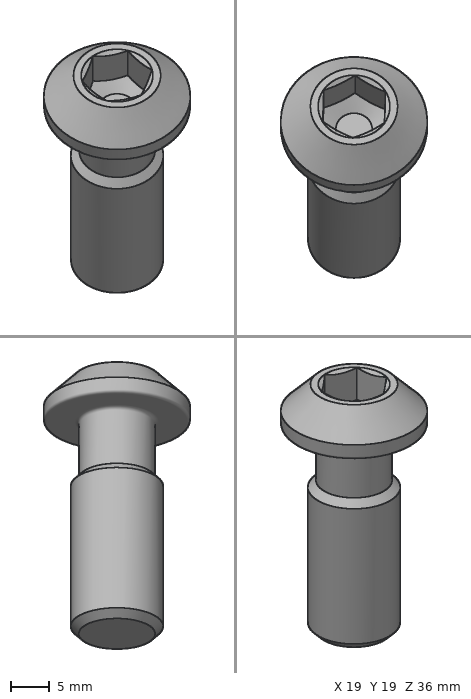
import cadquery as cq
import math

TOTAL_LENGTH = 36.0
HEAD_HEIGHT = 6.0
HEAD_DIAMETER = 19.0
HEAD_TOP_DIAMETER = 11.3
RIM_TOP_ABOVE_SEAT = 2.15
RIM_FILLET = 0.4

SHANK_DIAMETER = 12.0
NECK_DIAMETER = 9.9
NECK_LENGTH = 8.05
NECK_FILLET = 0.5

SOCKET_SIDES = 6
SOCKET_FLATS = 8.0
SOCKET_WALL_DEPTH = 4.7
SOCKET_FLOOR_DIAMETER = 4.7
SOCKET_MOUTH_DIAMETER = 9.3
SOCKET_CONE_SLOPE = 30.0

SEAT_Z = TOTAL_LENGTH - HEAD_HEIGHT
NECK_BOTTOM_Z = SEAT_Z - NECK_LENGTH
END_CHAMFER = (SHANK_DIAMETER - NECK_DIAMETER) / 2
SOCKET_CORNERS = SOCKET_FLATS / math.cos(math.pi / SOCKET_SIDES)


def cone_height(large_diameter, small_diameter):
    """Height of a socket cone between two diameters."""
    return (large_diameter - small_diameter) / 2 * math.tan(math.radians(SOCKET_CONE_SLOPE))


def make_body():
    """Head, neck and shank, turned about the Z axis from one half profile."""
    head_r = HEAD_DIAMETER / 2
    neck_r = NECK_DIAMETER / 2
    shank_r = SHANK_DIAMETER / 2
    profile = (
        cq.Workplane("XZ")
        .moveTo(0, 0)
        .lineTo(neck_r, 0)
        .lineTo(shank_r, END_CHAMFER)
        .lineTo(shank_r, NECK_BOTTOM_Z - END_CHAMFER)
        .lineTo(neck_r, NECK_BOTTOM_Z)
        .lineTo(neck_r, SEAT_Z - NECK_FILLET)
        .tangentArcPoint((neck_r + NECK_FILLET, SEAT_Z), relative=False)
        .lineTo(head_r - RIM_FILLET, SEAT_Z)
        .tangentArcPoint((head_r, SEAT_Z + RIM_FILLET), relative=False)
        .lineTo(head_r, SEAT_Z + RIM_TOP_ABOVE_SEAT)
        .lineTo(HEAD_TOP_DIAMETER / 2, TOTAL_LENGTH)
        .lineTo(0, TOTAL_LENGTH)
        .close()
    )
    return profile.revolve(360, (0, 0, 0), (0, 1, 0))


def make_socket():
    """Hexagon socket with corners on the Y axis, a conical floor and a countersunk mouth."""
    floor_depth = SOCKET_WALL_DEPTH + cone_height(SOCKET_CORNERS, SOCKET_FLOOR_DIAMETER)
    hexagon = (
        cq.Workplane("XY", origin=(0, 0, TOTAL_LENGTH - floor_depth))
        .transformed(rotate=(0, 0, 90))
        .polygon(SOCKET_SIDES, SOCKET_CORNERS)
        .extrude(floor_depth)
    )
    floor_envelope = (
        cq.Workplane("XZ")
        .moveTo(0, TOTAL_LENGTH - floor_depth)
        .lineTo(SOCKET_FLOOR_DIAMETER / 2, TOTAL_LENGTH - floor_depth)
        .lineTo(SOCKET_CORNERS / 2, TOTAL_LENGTH - SOCKET_WALL_DEPTH)
        .lineTo(SOCKET_CORNERS / 2, TOTAL_LENGTH)
        .lineTo(0, TOTAL_LENGTH)
        .close()
        .revolve(360, (0, 0, 0), (0, 1, 0))
    )
    mouth_depth = cone_height(SOCKET_MOUTH_DIAMETER, SOCKET_FLATS)
    mouth = (
        cq.Workplane("XZ")
        .moveTo(0, TOTAL_LENGTH - mouth_depth)
        .lineTo(SOCKET_FLATS / 2, TOTAL_LENGTH - mouth_depth)
        .lineTo(SOCKET_MOUTH_DIAMETER / 2, TOTAL_LENGTH)
        .lineTo(0, TOTAL_LENGTH)
        .close()
        .revolve(360, (0, 0, 0), (0, 1, 0))
    )
    return hexagon.intersect(floor_envelope).union(mouth)


result = make_body().cut(make_socket())